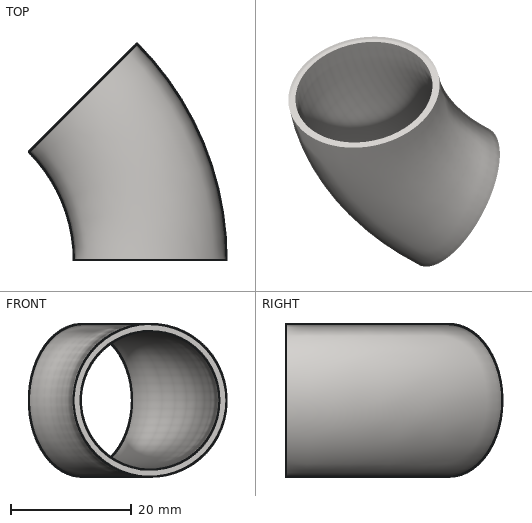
import cadquery as cq
import math

length_y = 35.95
outer_diameter = 25.4
inner_diameter = 23.0
bend_angle = 45.0

outer_bend_radius = length_y / math.sin(math.radians(bend_angle))
bend_radius = outer_bend_radius - outer_diameter / 2

result = (
    cq.Workplane("XZ")
    .circle(outer_diameter / 2)
    .circle(inner_diameter / 2)
    .revolve(bend_angle, (-bend_radius, 0), (-bend_radius, 1))
)